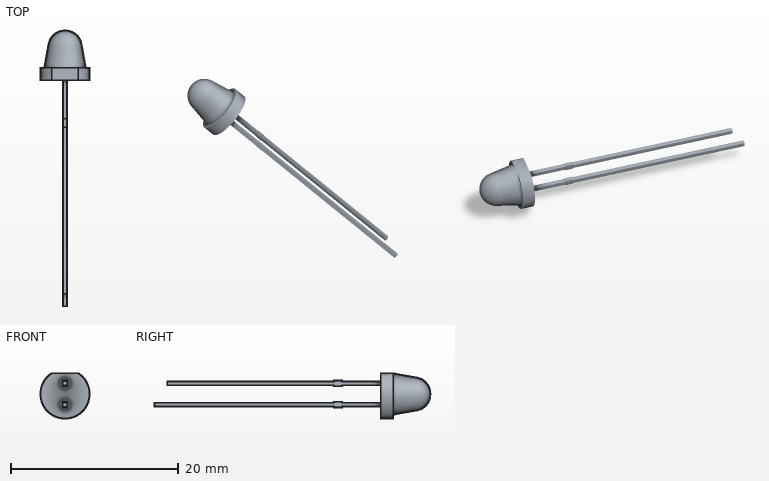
import cadquery as cq
import math

overall_length = 33.0

flange_diameter = 5.9
flange_height = 5.45
flange_thickness = 1.5
flange_radius = flange_diameter / 2
flat_offset = flange_height - flange_radius

lens_length = 4.5
dome_radius = 2.0
lens_base_radius = flat_offset
lens_tip = flange_thickness + lens_length
dome_center = lens_tip - dome_radius

lead_width = 0.5
lead_pitch = 2.55
long_lead_length = overall_length - lens_tip
lead_length_difference = 1.52
short_lead_length = long_lead_length - lead_length_difference
stop_distance = 4.6
stop_length = 1.0
stop_height = 0.7


def make_flange():
    disc = cq.Workplane("XZ").circle(flange_radius).extrude(-flange_thickness)
    keep = (
        cq.Workplane("XY")
        .box(flange_diameter, flange_thickness, flange_height, centered=(True, False, False))
        .translate((0, 0, -flange_radius))
    )
    return disc.intersect(keep)


def dome_point(angle):
    """Point (radius, Y) on the dome, with the angle measured from its equator."""
    return dome_radius * math.cos(angle), dome_center + dome_radius * math.sin(angle)


def make_lens():
    dome_height = dome_center - flange_thickness
    base_to_center = math.hypot(lens_base_radius, dome_height)
    base_angle = math.atan2(dome_height, lens_base_radius)
    tangent_angle = math.acos(dome_radius / base_to_center) - base_angle
    middle_angle = (tangent_angle + math.pi / 2) / 2

    half_profile = (
        cq.Workplane("XY")
        .moveTo(0, 0)
        .lineTo(lens_base_radius, 0)
        .lineTo(lens_base_radius, flange_thickness)
        .lineTo(*dome_point(tangent_angle))
        .threePointArc(dome_point(middle_angle), (0, lens_tip))
        .close()
    )
    return half_profile.revolve(360, (0, 0, 0), (0, 1, 0))


def make_bar(start, length, height, z):
    """Bar one lead wide, running toward -Y from a distance behind the flange."""
    return (
        cq.Workplane("XZ", origin=(0, -start, z))
        .rect(lead_width, height)
        .extrude(length)
    )


def make_lead(length, z):
    embedded = flange_thickness / 2
    wire = make_bar(-embedded, embedded + length, lead_width, z)
    stop = make_bar(stop_distance, stop_length, stop_height, z)
    return wire.union(stop)


result = make_flange().union(make_lens())
for lead_length, lead_z in (
    (short_lead_length, lead_pitch / 2),
    (long_lead_length, -lead_pitch / 2),
):
    result = result.union(make_lead(lead_length, lead_z))